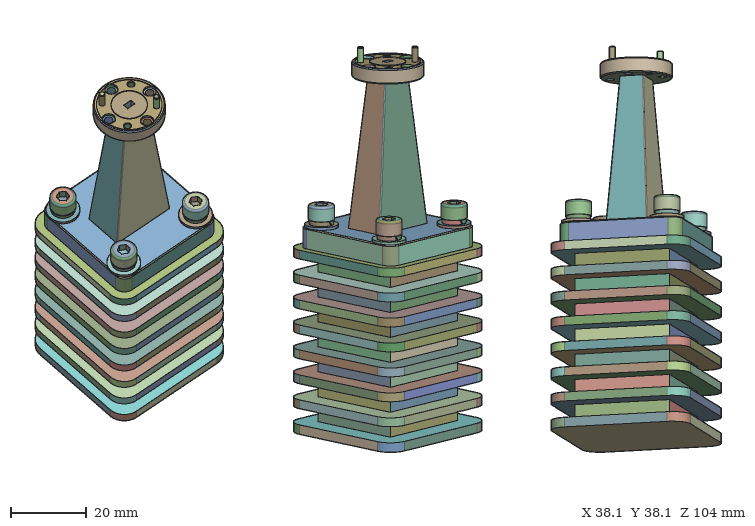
import cadquery as cq
import math

FIN_SIDE = 38.1
FIN_CORNER_RADIUS = 5.0
FIN_COUNT = 8
FIN_PITCH = 6.8
FIN_THICKNESS = 2.4
CORE_SIDE = 26.0
SINK_HEIGHT = 49.9

PLATE_SIDE = 33.5
PLATE_THICKNESS = 5.6
PLATE_CORNER_RADIUS = 3.1
PLATE_CHAMFER = 0.3
PLATE_TOP = SINK_HEIGHT + PLATE_THICKNESS

OVERALL_HEIGHT = 104.0
PIN_DIAMETER = 1.7
PIN_HEIGHT = 3.8
PIN_CHAMFER = 0.2

FLANGE_DIAMETER = 19.0
FLANGE_THICKNESS = 4.1
FLANGE_CHAMFER = 0.3
FLANGE_TOP = OVERALL_HEIGHT - PIN_HEIGHT
FLANGE_BOTTOM = FLANGE_TOP - FLANGE_THICKNESS
BOSS_DIAMETER = 9.6
RIM_INNER_DIAMETER = 17.3
FACE_RELIEF = 0.2
RELIEF_FLOOR = FLANGE_TOP - FACE_RELIEF
HOLE_CIRCLE_RADIUS = 7.2
BOLT_HOLE_ANGLES = (0, 90, 180, 270)
PIN_HOLE_ANGLES = (135, 315)
PIN_ANGLES = (45, 225)
BOLT_HOLE_DIAMETER = 2.3
COUNTERBORE_DIAMETER = 3.4
COUNTERBORE_DEPTH = 0.6
PIN_HOLE_DIAMETER = 1.7
PIN_HOLE_CHAMFER = 0.2
WAVEGUIDE_WIDTH = 1.6
WAVEGUIDE_LENGTH = 2.5

HORN_BASE_X = 11.4
HORN_BASE_Y = 18.5
HORN_TOP_X = 6.5
HORN_TOP_Y = 8.9
HORN_EDGE_FILLET = 0.26

SCREW_X = 12.2
SCREW_Y = 12.6
WASHER_DIAMETER = 8.9
WASHER_THICKNESS = 0.7
SPRING_WASHER_DIAMETER = 6.4
SPRING_WASHER_THICKNESS = 1.2
SPLIT_WIDTH = 0.3
SPLIT_DEPTH = 1.0
SPLIT_TILT = -30.0
HEAD_DIAMETER = 7.0
HEAD_HEIGHT = 4.1
HEAD_FILLET = 0.6
SOCKET_ACROSS_FLATS = 3.0
SOCKET_DEPTH = 2.0
SOCKET_POINT_ANGLE = 120.0
LEFT_SCREW_TURN = -10.0


def disc(diameter, thickness, bottom):
    return cq.Workplane("XY").workplane(offset=bottom).circle(diameter / 2).extrude(thickness)


def make_heat_sink():
    sink = cq.Workplane("XY").rect(CORE_SIDE, CORE_SIDE).extrude(SINK_HEIGHT)
    for index in range(FIN_COUNT):
        fin_top = SINK_HEIGHT - index * FIN_PITCH
        is_lowest = index == FIN_COUNT - 1
        thickness = fin_top if is_lowest else FIN_THICKNESS
        fin = (
            cq.Workplane("XY")
            .workplane(offset=fin_top - thickness)
            .rect(FIN_SIDE, FIN_SIDE)
            .extrude(thickness)
            .edges("|Z")
            .fillet(FIN_CORNER_RADIUS)
        )
        sink = sink.union(fin)
    return sink


def make_plate():
    return (
        cq.Workplane("XY")
        .workplane(offset=SINK_HEIGHT)
        .rect(PLATE_SIDE, PLATE_SIDE)
        .extrude(PLATE_THICKNESS)
        .edges("|Z")
        .fillet(PLATE_CORNER_RADIUS)
        .faces(">Z")
        .edges()
        .chamfer(PLATE_CHAMFER)
    )


def make_horn():
    return (
        cq.Workplane("XY")
        .workplane(offset=PLATE_TOP)
        .rect(HORN_BASE_X, HORN_BASE_Y)
        .workplane(offset=FLANGE_BOTTOM - PLATE_TOP)
        .rect(HORN_TOP_X, HORN_TOP_Y)
        .loft(ruled=True)
        .edges("not(|X or |Y)")
        .fillet(HORN_EDGE_FILLET)
    )


def on_hole_circle(shape, angle):
    return shape.translate((HOLE_CIRCLE_RADIUS, 0, 0)).rotate((0, 0, 0), (0, 0, 1), angle)


def make_flange_disc():
    flange = disc(FLANGE_DIAMETER, FLANGE_THICKNESS, FLANGE_BOTTOM)
    return flange.faces("<Z or >Z").edges().chamfer(FLANGE_CHAMFER)


def make_face_relief():
    """Shallow ring between the central boss and the rim."""
    return (
        cq.Workplane("XY")
        .workplane(offset=RELIEF_FLOOR)
        .circle(RIM_INNER_DIAMETER / 2)
        .circle(BOSS_DIAMETER / 2)
        .extrude(FACE_RELIEF)
    )


def make_bolt_hole():
    """Through hole with a shallow counterbore."""
    counterbore_floor = RELIEF_FLOOR - COUNTERBORE_DEPTH
    counterbore = disc(COUNTERBORE_DIAMETER, FLANGE_TOP - counterbore_floor, counterbore_floor)
    return disc(BOLT_HOLE_DIAMETER, FLANGE_THICKNESS, FLANGE_BOTTOM).union(counterbore)


def make_pin_hole():
    """Through hole with a chamfered mouth, for the pin of the mating flange."""
    mouth = (
        cq.Workplane("XY")
        .workplane(offset=RELIEF_FLOOR - PIN_HOLE_CHAMFER)
        .circle(PIN_HOLE_DIAMETER / 2)
        .workplane(offset=PIN_HOLE_CHAMFER)
        .circle(PIN_HOLE_DIAMETER / 2 + PIN_HOLE_CHAMFER)
        .loft()
    )
    return disc(PIN_HOLE_DIAMETER, FLANGE_THICKNESS, FLANGE_BOTTOM).union(mouth)


def make_pin():
    pin = disc(PIN_DIAMETER, OVERALL_HEIGHT - RELIEF_FLOOR, RELIEF_FLOOR)
    return pin.faces(">Z").edges().chamfer(PIN_CHAMFER)


def make_waveguide():
    return (
        cq.Workplane("XY")
        .workplane(offset=FLANGE_BOTTOM)
        .rect(WAVEGUIDE_WIDTH, WAVEGUIDE_LENGTH)
        .extrude(FLANGE_THICKNESS)
    )


def make_flange():
    flange = make_flange_disc().cut(make_face_relief()).cut(make_waveguide())
    bolt_hole = make_bolt_hole()
    for angle in BOLT_HOLE_ANGLES:
        flange = flange.cut(on_hole_circle(bolt_hole, angle))
    pin_hole = make_pin_hole()
    for angle in PIN_HOLE_ANGLES:
        flange = flange.cut(on_hole_circle(pin_hole, angle))
    pin = make_pin()
    for angle in PIN_ANGLES:
        flange = flange.union(on_hole_circle(pin, angle))
    return flange


def make_socket(head_top):
    """Hexagonal recess whose floor is a drill-point cone."""
    corner_radius = SOCKET_ACROSS_FLATS / math.sqrt(3)
    point_depth = corner_radius / math.tan(math.radians(SOCKET_POINT_ANGLE / 2))
    hexagon = (
        cq.Workplane("XY")
        .workplane(offset=head_top - SOCKET_DEPTH - point_depth)
        .polygon(6, 2 * corner_radius)
        .extrude(SOCKET_DEPTH + point_depth)
    )
    drill = (
        cq.Workplane("XZ")
        .moveTo(0, head_top - SOCKET_DEPTH - point_depth)
        .lineTo(corner_radius, head_top - SOCKET_DEPTH)
        .lineTo(corner_radius, head_top)
        .lineTo(0, head_top)
        .close()
        .revolve(360, (0, 0, 0), (0, 1, 0))
    )
    return hexagon.intersect(drill)


def make_split(spring_bottom):
    """Slanted slit in the -X side of the spring washer, stopping short of the screw shank."""
    radius = SPRING_WASHER_DIAMETER / 2
    slit_length = 2 * SPRING_WASHER_THICKNESS
    slit = (
        cq.Workplane("XY")
        .box(SPLIT_DEPTH, SPLIT_WIDTH, slit_length)
        .rotate((0, 0, 0), (1, 0, 0), SPLIT_TILT)
    )
    middle_height = spring_bottom + SPRING_WASHER_THICKNESS / 2
    return slit.translate((SPLIT_DEPTH / 2 - radius, 0, middle_height))


def make_screw():
    spring_bottom = PLATE_TOP + WASHER_THICKNESS
    head_bottom = spring_bottom + SPRING_WASHER_THICKNESS
    washer = disc(WASHER_DIAMETER, WASHER_THICKNESS, PLATE_TOP)
    spring_washer = disc(SPRING_WASHER_DIAMETER, SPRING_WASHER_THICKNESS, spring_bottom)
    spring_washer = spring_washer.cut(make_split(spring_bottom))
    head = disc(HEAD_DIAMETER, HEAD_HEIGHT, head_bottom)
    head = head.faces(">Z").edges().fillet(HEAD_FILLET)
    head = head.cut(make_socket(head_bottom + HEAD_HEIGHT))
    return washer.union(spring_washer).union(head)


def make_horn_assembly():
    """Plate, horn, flange and screws joined as one body."""
    assembly = make_plate().union(make_horn()).union(make_flange())
    screw = make_screw()
    for x, turn in ((-SCREW_X, LEFT_SCREW_TURN), (SCREW_X, 0)):
        turned_screw = screw.rotate((0, 0, 0), (0, 0, 1), turn)
        for y in (-SCREW_Y, SCREW_Y):
            assembly = assembly.union(turned_screw.translate((x, y, 0)))
    return assembly


heat_sink = make_heat_sink()
horn_assembly = make_horn_assembly()

result = cq.Compound.makeCompound([heat_sink.val(), horn_assembly.val()])